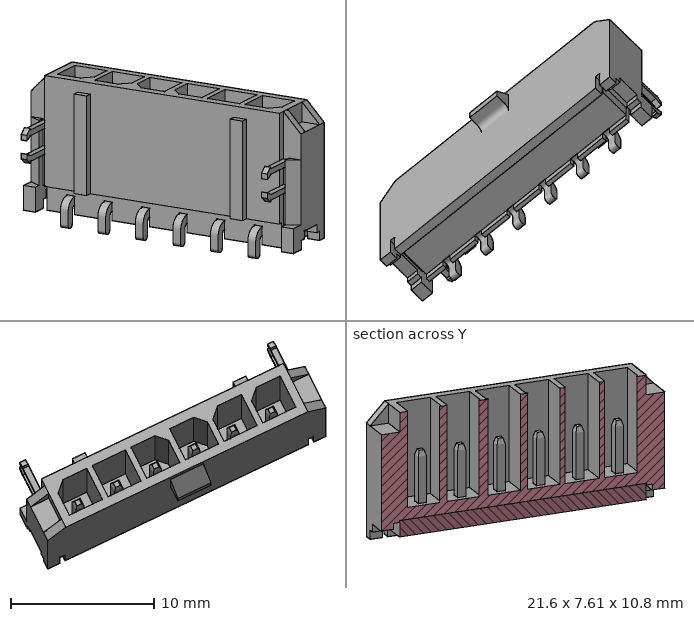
import cadquery as cq


LENGTH = 21.65
HEIGHT = 9.9
CORE_LENGTH = 18.83
CORE_DEPTH = 3.87
FRONT_DEPTH = 4.4
CORE_BOTTOM = 1.82
WALL = 0.67

CIRCUITS = 6
PITCH = 3.0
CAVITY_LENGTH = 2.58
CAVITY_WIDTH = 2.49
CAVITY_DEPTH = 7.15
CAVITY_CHAMFER = 0.71
CHAMFER_SIDES = (1, 1, -1, -1, 0, 1)

WING_DEPTH = 3.33
SHOULDER_WALL = 0.63
SHOULDER_DROP = 1.45
PLATE_THICKNESS = 0.95
WEB_BOTTOM = 1.69
GUSSET_TOP = HEIGHT - 3.33
ARCH_HEIGHT = 0.67
ARCH_FRONT = 3.22
WINDOW_BACK = 1.05
WINDOW_FRONT = 2.83
WINDOW_TOP = 1.25

REAR_SKIRT_LENGTH = 18.95
FRONT_SKIRT_BACK = 3.25
FRONT_SKIRT_FRONT = 3.57
SLOT_TOP = 1.36

RIB_WIDTH = 1.0
RIB_OFFSET = 6.25
RIB_TOP = HEIGHT - 0.82

LATCH_WIDTH = 2.58
LATCH_REACH = 1.21
LATCH_TOP = HEIGHT - 0.63
LATCH_KNEE = HEIGHT - 1.77
LATCH_BOTTOM = HEIGHT - 2.49
LATCH_FILLET = 0.5

PRONG_MID = HEIGHT - 4.59
PRONG_INNER = 0.74
PRONG_OUTER = 1.15
BARB_OUTER = 1.28
TIP_INNER = 0.48
TIP_OUTER = 0.89
BARB_START = 5.85
BARB_PEAK = 5.95
PRONG_REACH = 6.4

BASE_BACK = 0.85
BASE_BOTTOM = 0.6

PIN = 0.63
PIN_CENTRE = WALL + CAVITY_WIDTH / 2
PIN_TOP = HEIGHT - 3.25
PIN_TIP = 0.37
PIN_TAPER = 0.43
PIN_FRONT = 4.45
PIN_BOTTOM = -0.85
PIN_ARM_TOP = 1.3
PIN_BEND = 0.9

PIN_POSITIONS = [PITCH * (i - (CIRCUITS - 1) / 2) for i in range(CIRCUITS)]


def block(x0, x1, depth0, depth1, z0, z1):
    """Box between two X values, two depths in front of the back face and two heights."""
    return (
        cq.Workplane("XY")
        .box(x1 - x0, depth1 - depth0, z1 - z0, centered=False)
        .translate((x0, -depth1, z0))
    )


def side_profile(x0):
    """Sketch plane at x0 with local axes +Y and +Z, extruding towards +X."""
    return cq.Workplane("YZ", origin=(x0, 0, 0))


def mirrored_pair(shape):
    """The shape and its mirror image about the middle of the row."""
    return shape.union(shape.mirror("YZ"))


def core():
    body = block(-CORE_LENGTH / 2, CORE_LENGTH / 2, 0, CORE_DEPTH, CORE_BOTTOM, HEIGHT)
    for x, side in zip(PIN_POSITIONS, CHAMFER_SIDES):
        body = body.cut(cavity(x, side))
    return body


def cavity(x, chamfer_side):
    """Square mating pocket, with one front corner cut off as a key."""
    half = CAVITY_LENGTH / 2
    pocket = block(x - half, x + half, WALL, WALL + CAVITY_WIDTH, HEIGHT - CAVITY_DEPTH, HEIGHT)
    if chamfer_side == 0:
        return pocket
    corner = ">X" if chamfer_side > 0 else "<X"
    return pocket.faces("<Y").edges("|Z").edges(corner).chamfer(CAVITY_CHAMFER)


def left_wing():
    """End wing with a sloped, hollow shoulder, a front gusset and two feet."""
    outer = -LENGTH / 2
    inner = -CORE_LENGTH / 2
    plate = outer + PLATE_THICKNESS
    shoulder = HEIGHT - SHOULDER_DROP
    wing = (
        cq.Workplane("XZ")
        .polyline(
            [
                (outer, 0),
                (plate, 0),
                (plate, WEB_BOTTOM),
                (inner, WEB_BOTTOM),
                (inner, HEIGHT),
                (outer, shoulder),
            ]
        )
        .close()
        .extrude(WING_DEPTH)
    )
    gusset = (
        cq.Workplane("XY", origin=(0, 0, CORE_BOTTOM))
        .polyline([(outer, -WING_DEPTH), (plate, -WING_DEPTH), (plate, -CORE_DEPTH)])
        .close()
        .extrude(GUSSET_TOP - CORE_BOTTOM)
    )
    front_foot = block(outer, plate, WING_DEPTH, FRONT_DEPTH, 0, CORE_BOTTOM)
    pocket = block(outer, inner, WALL, WING_DEPTH - SHOULDER_WALL, shoulder, HEIGHT)
    arch = block(outer, plate, WALL, ARCH_FRONT, 0, ARCH_HEIGHT)
    window = block(outer, plate, WINDOW_BACK, WINDOW_FRONT, 0, WINDOW_TOP)
    return wing.union(gusset).union(front_foot).cut(pocket).cut(arch).cut(window)


def left_board_lock():
    """Pair of barbed prongs reaching forward from the slot between plate and core."""
    x0 = -LENGTH / 2 + PLATE_THICKNESS
    width = -CORE_LENGTH / 2 - x0
    prongs = cq.Workplane("XY")
    for side in (1, -1):
        outline = [
            (WING_DEPTH, PRONG_INNER),
            (WING_DEPTH, PRONG_OUTER),
            (BARB_START, PRONG_OUTER),
            (BARB_PEAK, BARB_OUTER),
            (PRONG_REACH, TIP_OUTER),
            (PRONG_REACH, TIP_INNER),
            (BARB_START, PRONG_INNER),
        ]
        points = [(-depth, PRONG_MID + side * offset) for depth, offset in outline]
        prongs = prongs.add(side_profile(x0).polyline(points).close().extrude(width))
    return prongs.combine()


def rear_skirt():
    half = REAR_SKIRT_LENGTH / 2
    return block(-half, half, 0, WALL, 0, CORE_BOTTOM)


def front_skirt():
    """Front wall below the core, with a slot open downwards for each contact."""
    half = CORE_LENGTH / 2
    wall = block(-half, half, FRONT_SKIRT_BACK, FRONT_SKIRT_FRONT, 0, CORE_BOTTOM)
    for x in PIN_POSITIONS:
        slot = block(x - PIN / 2, x + PIN / 2, FRONT_SKIRT_BACK, FRONT_SKIRT_FRONT, 0, SLOT_TOP)
        wall = wall.cut(slot)
    return wall


def rib():
    x0 = RIB_OFFSET - RIB_WIDTH / 2
    return block(x0, x0 + RIB_WIDTH, CORE_DEPTH, FRONT_DEPTH, CORE_BOTTOM, RIB_TOP)


def latch():
    """Ramped catch on the back face with a rounded root below."""
    return (
        side_profile(-LATCH_WIDTH / 2)
        .moveTo(0, LATCH_TOP)
        .lineTo(LATCH_REACH, LATCH_KNEE)
        .lineTo(LATCH_REACH, LATCH_BOTTOM)
        .lineTo(LATCH_FILLET, LATCH_BOTTOM)
        .radiusArc((0, LATCH_BOTTOM - LATCH_FILLET), -LATCH_FILLET)
        .close()
        .extrude(LATCH_WIDTH)
    )


def base_block():
    """Flat block between the skirts, resting against the underside of the core."""
    half = CORE_LENGTH / 2
    return block(-half, half, BASE_BACK, FRONT_SKIRT_BACK, BASE_BOTTOM, CORE_BOTTOM)


def pin_post(x):
    """Upright square post of one contact, with a tapered point."""
    shaft_top = PIN_TOP - PIN_TAPER
    half = PIN / 2
    shaft = block(x - half, x + half, PIN_CENTRE - half, PIN_CENTRE + half, BASE_BOTTOM, shaft_top)
    point = (
        cq.Workplane("XY", origin=(x, -PIN_CENTRE, shaft_top))
        .rect(PIN, PIN)
        .workplane(offset=PIN_TAPER)
        .rect(PIN_TIP, PIN_TIP)
        .loft(combine=True)
    )
    return shaft.union(point)


def pin_tail(x):
    """Solder tail: forward arm, quarter bend and a leg with a round end."""
    arm_bottom = PIN_ARM_TOP - PIN
    bend_centre = PIN_FRONT - PIN_BEND
    bend_end = PIN_ARM_TOP - PIN_BEND
    leg_back = PIN_FRONT - PIN
    leg_end = PIN_BOTTOM + PIN / 2
    return (
        side_profile(x - PIN / 2)
        .moveTo(-PIN_CENTRE, PIN_ARM_TOP)
        .lineTo(-bend_centre, PIN_ARM_TOP)
        .radiusArc((-PIN_FRONT, bend_end), -PIN_BEND)
        .lineTo(-PIN_FRONT, leg_end)
        .threePointArc((-PIN_FRONT + PIN / 2, PIN_BOTTOM), (-leg_back, leg_end))
        .lineTo(-leg_back, bend_end)
        .radiusArc((-bend_centre, arm_bottom), PIN_BEND - PIN)
        .lineTo(-PIN_CENTRE, arm_bottom)
        .close()
        .extrude(PIN)
    )


def make_housing():
    body = core().union(rear_skirt()).union(front_skirt())
    body = body.union(latch()).union(mirrored_pair(rib()))
    body = body.union(mirrored_pair(left_wing())).union(mirrored_pair(left_board_lock()))
    for x in PIN_POSITIONS:
        body = body.cut(pin_post(x))
    return body


def make_terminal_base():
    body = base_block()
    for x in PIN_POSITIONS:
        body = body.union(pin_tail(x)).union(pin_post(x))
    return body


housing = make_housing()
terminal_base = make_terminal_base()

result = cq.Compound.makeCompound([housing.val(), terminal_base.val()])